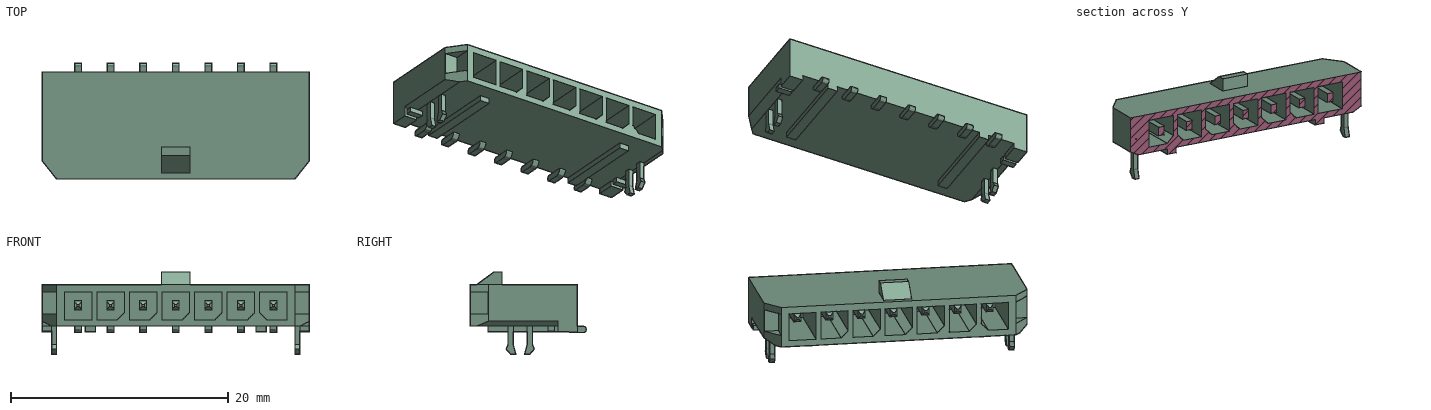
import cadquery as cq


CIRCUITS = 7
PITCH = 3.0
LENGTH = 24.64
HALF = LENGTH / 2
DEPTH = 9.88
TOTAL_HEIGHT = 7.6
TOP = 4.34
UNDERSIDE = 0.52
CORNER_X = 1.34
CORNER_Y = 1.68

NOTCH_DEPTH = 1.64
NOTCH_LOW = 1.63
NOTCH_HIGH = 3.69

SLOPE_X = 0.88
SLOPE_Z = 0.46
SLOPE_END_Y = 8.07

RUNNER_X = 7.87
RUNNER_WIDTH = 0.96
RUNNER_FRONT_Y = 1.62

CAVITY_WIDTH = 2.54
CAVITY_LOW = 1.11
CAVITY_HIGH = 3.69
CAVITY_DEPTH = 7.0
KEY_SIZE = 0.66

PIN_WIDTH = 0.64
PIN_HEIGHT = 0.88
PIN_Z = 2.43
PIN_FRONT_Y = 2.5
TIP_SIZE = 0.2
SHOULDER_RADIUS = 0.3
TAIL_END_Y = 10.7
TAIL_THICKNESS = 0.6
TAIL_BEND_Y = 9.35
TAIL_END_RADIUS = 0.28

LATCH_WIDTH = 2.64
LATCH_HEIGHT = 1.19
LATCH_TOP = TOP + LATCH_HEIGHT
LATCH_BACK_Y = 2.94
LATCH_CREST_Y = 2.2
LATCH_FRONT_Y = 0.58

CLIP_THICKNESS = CORNER_X - SLOPE_X
CLIP_CENTER_Y = 4.61
CLIP_INNER = 0.63
CLIP_OUTER = 1.14
BARB_OUTER = 1.31
TOE_INNER = 0.39
TOE_OUTER = 0.88
BARB_START_Z = -1.18
BARB_Z = -1.6
CLIP_BOTTOM = LATCH_TOP - TOTAL_HEIGHT
CLIP_ROOT_Z = 1.0
TAB_FRONT_Y = 7.17
TAB_LENGTH = 0.59
TAB_LOW = 0.06


def box(x0, x1, y0, y1, z0, z1):
    """Box between two opposite corners."""
    return cq.Workplane("XY").box(x1 - x0, y1 - y0, z1 - z0, centered=False).translate((x0, y0, z0))


def prism_along_x(points, x_center, width):
    """Closed (Y, Z) outline extruded symmetrically about x_center."""
    start = x_center - width / 2
    return cq.Workplane("YZ").workplane(offset=start).polyline(points).close().extrude(width)


def make_housing():
    """Housing shell with corner notches, sloped lower edges, rear blocks and runners."""
    outline = [
        (-HALF, DEPTH),
        (-HALF, CORNER_Y),
        (-HALF + CORNER_X, 0),
        (HALF - CORNER_X, 0),
        (HALF, CORNER_Y),
        (HALF, DEPTH),
    ]
    body = cq.Workplane("XY").workplane(offset=UNDERSIDE).polyline(outline).close().extrude(TOP - UNDERSIDE)
    for side in (-1, 1):
        notch_center = side * (HALF - CORNER_X / 2)
        notch = box(-CORNER_X / 2, CORNER_X / 2, 0, NOTCH_DEPTH, NOTCH_LOW, NOTCH_HIGH)
        body = body.cut(notch.translate((notch_center, 0, 0)))

        slope = [
            (side * HALF, UNDERSIDE),
            (side * HALF, UNDERSIDE + SLOPE_Z),
            (side * (HALF - SLOPE_X), UNDERSIDE),
        ]
        wedge = cq.Workplane("XZ").polyline(slope).close().extrude(-SLOPE_END_Y)
        body = body.cut(wedge)

        block = box(-CORNER_X / 2, CORNER_X / 2, SLOPE_END_Y, DEPTH, 0, TOP)
        body = body.union(block.translate((notch_center, 0, 0)))

        runner = box(-RUNNER_WIDTH / 2, RUNNER_WIDTH / 2, RUNNER_FRONT_Y, DEPTH, 0, UNDERSIDE)
        body = body.union(runner.translate((side * RUNNER_X, 0, 0)))
    return body


def make_latch():
    """Latch ramp standing on the top face."""
    profile = [
        (LATCH_BACK_Y, TOP),
        (LATCH_BACK_Y, LATCH_TOP),
        (LATCH_CREST_Y, LATCH_TOP),
        (LATCH_FRONT_Y, TOP),
    ]
    return prism_along_x(profile, 0, LATCH_WIDTH)


def make_cavity(side):
    """Cavity about X = 0; side is the X direction of the filled lower corner, 0 for none."""
    half = CAVITY_WIDTH / 2
    cavity = box(-half, half, 0, CAVITY_DEPTH, CAVITY_LOW, CAVITY_HIGH)
    if side:
        key = [
            (side * half, CAVITY_LOW),
            (side * half, CAVITY_LOW + KEY_SIZE),
            (side * (half - KEY_SIZE), CAVITY_LOW),
        ]
        cavity = cavity.cut(cq.Workplane("XZ").polyline(key).close().extrude(-CAVITY_DEPTH))
    return cavity


def make_pin():
    """Mating pin at X = 0, rooted in the back wall of the cavity; all tip faces slope at 45 degrees."""
    half_tip = TIP_SIZE / 2
    half_width = PIN_WIDTH / 2
    half_height = PIN_HEIGHT / 2
    side_profile = [
        (CAVITY_DEPTH, -half_height),
        (PIN_FRONT_Y + half_height - half_tip, -half_height),
        (PIN_FRONT_Y, -half_tip),
        (PIN_FRONT_Y, half_tip),
        (PIN_FRONT_Y + half_height - half_tip, half_height),
        (CAVITY_DEPTH, half_height),
    ]
    plan_profile = [
        (-half_width, CAVITY_DEPTH),
        (-half_width, PIN_FRONT_Y + half_width - half_tip),
        (-half_tip, PIN_FRONT_Y),
        (half_tip, PIN_FRONT_Y),
        (half_width, PIN_FRONT_Y + half_width - half_tip),
        (half_width, CAVITY_DEPTH),
    ]
    blade = prism_along_x(side_profile, 0, PIN_WIDTH)
    shoulders = blade.edges("|X").edges("<Z or >Z").edges("<Y")
    blade = shoulders.fillet(SHOULDER_RADIUS)
    plan = cq.Workplane("XY").polyline(plan_profile).close().extrude(half_height, both=True)
    return blade.intersect(plan).translate((0, 0, PIN_Z))


def make_tail():
    """Solder tail: a round bend below the housing, running back to a rounded end."""
    low = UNDERSIDE - TAIL_THICKNESS
    arc_offset = TAIL_THICKNESS * 0.5 ** 0.5
    tail = (
        cq.Workplane("YZ")
        .workplane(offset=-PIN_WIDTH / 2)
        .moveTo(TAIL_BEND_Y - TAIL_THICKNESS, UNDERSIDE)
        .threePointArc((TAIL_BEND_Y - arc_offset, UNDERSIDE - arc_offset), (TAIL_BEND_Y, low))
        .lineTo(TAIL_END_Y, low)
        .lineTo(TAIL_END_Y, UNDERSIDE)
        .close()
        .extrude(PIN_WIDTH)
    )
    return tail.edges("|X and >Y").fillet(TAIL_END_RADIUS)


def make_clip(side):
    """Pair of barbed board legs and a side tab at one end of the housing."""
    leg_x = side * (HALF - SLOPE_X - CLIP_THICKNESS / 2)
    half_profile = [
        (CLIP_INNER, CLIP_ROOT_Z),
        (CLIP_OUTER, CLIP_ROOT_Z),
        (CLIP_OUTER, BARB_START_Z),
        (BARB_OUTER, BARB_Z),
        (TOE_OUTER, CLIP_BOTTOM),
        (TOE_INNER, CLIP_BOTTOM),
        (CLIP_INNER, BARB_START_Z),
    ]
    tab = box(-CORNER_X / 2, CORNER_X / 2, TAB_FRONT_Y, TAB_FRONT_Y + TAB_LENGTH, TAB_LOW, UNDERSIDE)
    clip = tab.translate((side * (HALF - CORNER_X / 2), 0, 0))
    for direction in (-1, 1):
        points = [(CLIP_CENTER_Y + direction * y, z) for y, z in half_profile]
        clip = clip.union(prism_along_x(points, leg_x, CLIP_THICKNESS))
    return clip


def key_side(index):
    """Filled cavity corner: none on the first circuit, -X on the last, +X between."""
    if index == 0:
        return 0
    if index == CIRCUITS - 1:
        return -1
    return 1


result = make_housing().union(make_latch())
for index in range(CIRCUITS):
    x = (index - (CIRCUITS - 1) / 2) * PITCH
    result = result.cut(make_cavity(key_side(index)).translate((x, 0, 0)))
    result = result.union(make_pin().translate((x, 0, 0)))
    result = result.union(make_tail().translate((x, 0, 0)))
for side in (-1, 1):
    result = result.union(make_clip(side))